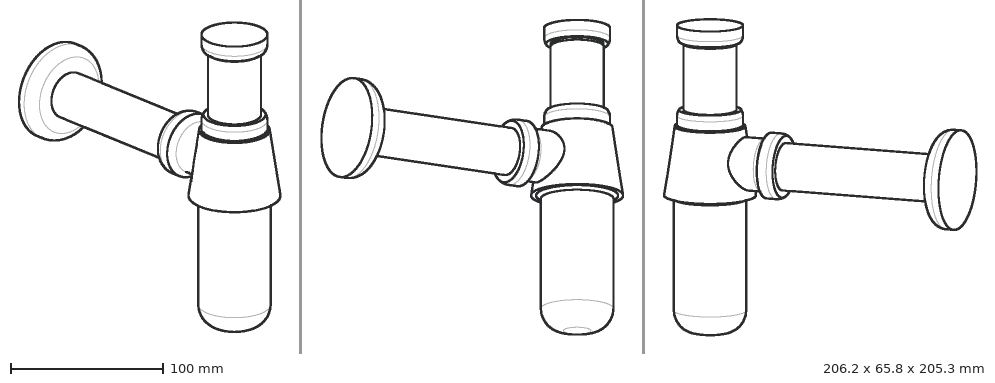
import cadquery as cq
import math

length = 206.2
height = 205.3
cone_base_radius = 30.3
body_x = length - cone_base_radius
arm_z = 114.6

bottle_radius = 47.8 / 2
bottle_round = 14.8
cone_base_z = 91.7
cone_top_z = 138.0
cone_top_radius = 23.3
shoulder_radius = 27.0
shoulder_height = 2.3

inlet_radius = 35.0 / 2
nut_radius = 43.5 / 2
nut_length = 10.7
nut_face_radius = 20.5
nut_crown = 4.0
groove_radius = 42.0 / 2
groove_height = 0.6
nut_top_z = 148.8
collar_radius = 34.8 / 2
collar_length = 1.6

arm_radius = 31.3 / 2
flange_radius = 65.8 / 2
flange_thickness = 12.8
flange_face_radius = 26.2
flange_crown = 7.6
arm_nut_x = 123.0
neck_radius = 35.0 / 2
neck_cove = 4.1


def rod(radius, start, end):
    """Cylinder on the Z axis between two heights."""
    return cq.Workplane("XY").workplane(offset=start).circle(radius).extrude(end - start)


def revolve(outline):
    """Closed half-outline turned about the Z axis."""
    return outline.close().revolve(360, (0, 0, 0), (0, 1, 0))


def cone(start_radius, start, end_radius, end):
    """Straight taper on the Z axis between two heights."""
    outline = cq.Workplane("XZ").moveTo(0, start).lineTo(start_radius, start)
    return revolve(outline.lineTo(end_radius, end).lineTo(0, end))


def crowned_disc(radius, face_radius, crown, square_end, crowned_end):
    """Disc whose rim curves in, tangent to its side, to a smaller flat face at `crowned_end`."""
    direction = math.copysign(1, crowned_end - square_end)
    inset = radius - face_radius
    arc_radius = (crown**2 + inset**2) / (2 * inset)
    half_angle = math.atan2(inset, crown)
    middle_radius = radius - arc_radius * (1 - math.cos(half_angle))
    arc_start = crowned_end - direction * crown
    middle = arc_start + direction * arc_radius * math.sin(half_angle)
    outline = (
        cq.Workplane("XZ")
        .moveTo(0, square_end)
        .lineTo(radius, square_end)
        .lineTo(radius, arc_start)
        .threePointArc((middle_radius, middle), (face_radius, crowned_end))
        .lineTo(0, crowned_end)
    )
    return revolve(outline)


def nut_disc(square_end, crowned_end):
    """Nut or cap with the common crowned rim."""
    return crowned_disc(nut_radius, nut_face_radius, nut_crown, square_end, crowned_end)


def cove(radius, size, start):
    """Concave ring round a rod, widest at `start` and narrowing upward."""
    middle = size * (1 - math.sqrt(0.5))
    outline = (
        cq.Workplane("XZ")
        .moveTo(0, start)
        .lineTo(radius + size, start)
        .threePointArc((radius + middle, start + middle), (radius, start + size))
        .lineTo(0, start + size)
    )
    return revolve(outline)


def trap_body():
    """Round-bottomed bottle under a tapered housing."""
    bottle = rod(bottle_radius, 0, cone_base_z).faces("<Z").edges().fillet(bottle_round)
    shoulder = cone(bottle_radius, cone_base_z - shoulder_height, shoulder_radius, cone_base_z)
    housing = cone(cone_base_radius, cone_base_z, cone_top_radius, cone_top_z)
    return bottle.union(shoulder).union(housing)


def inlet():
    """Vertical pipe with its grooved lower nut, top cap and the collar below the cap."""
    cap_z = height - nut_length
    collar_z = cap_z - collar_length
    pipe = rod(inlet_radius, cone_top_z, collar_z)
    nut_base_z = cone_top_z + groove_height
    groove = rod(groove_radius, cone_top_z, nut_base_z)
    nut = nut_disc(nut_base_z, nut_top_z)
    cap = nut_disc(height, cap_z)
    collar = rod(collar_radius, collar_z, cap_z)
    return pipe.union(groove).union(nut).union(cap).union(collar)


def outlet():
    """Arm built along Z from the wall flange to the trap axis, then laid along X."""
    nut_end = arm_nut_x + nut_length
    flange = crowned_disc(flange_radius, flange_face_radius, flange_crown, 0, flange_thickness)
    pipe = rod(arm_radius, 0, arm_nut_x)
    nut = nut_disc(nut_end, arm_nut_x)
    neck = rod(neck_radius, nut_end, body_x)
    arm = flange.union(pipe).union(nut).union(neck)
    arm = arm.union(cove(neck_radius, neck_cove, nut_end))
    return arm.rotate((0, 0, 0), (0, 1, 0), 90).translate((0, 0, arm_z))


trap = trap_body().union(inlet()).translate((body_x, 0, 0))
result = trap.union(outlet())